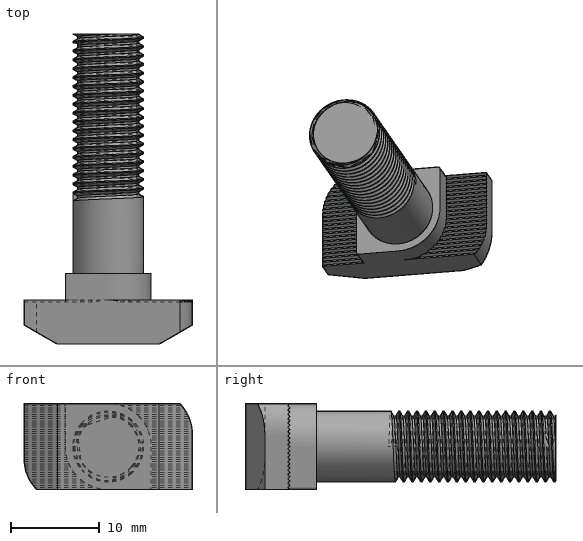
import cadquery as cq
import math


head_length = 19.0
head_height = 9.7
head_thickness = 5.0
bevel_run = 3.75
bevel_angle = 30.0
bevel_rise = bevel_run * math.tan(math.radians(bevel_angle))
corner_radius = 5.0
corner_drop = 3.5

tooth_count = 20
tooth_pitch = head_height / tooth_count
tooth_depth = tooth_pitch / 2

neck_end = 8.0
neck_radius = head_height / 2
neck_corner_fillet = 0.25

bolt_end = 35.0
shank_radius = 4.0
thread_pitch = 1.0
thread_start = 16.58
flank_slope = math.tan(math.radians(30.0))
triangle_height = thread_pitch * math.cos(math.radians(30.0))
thread_depth = triangle_height * 5 / 8
root_width = thread_pitch / 4
groove_overshoot = 0.05


def xz_plane(y):
    """Plane across the bolt axis with X to the right, Z up and normal -Y."""
    return cq.Workplane("XZ", origin=(0, y, 0))


def make_head():
    half_length = head_length / 2
    half_height = head_height / 2
    tip_half_length = half_length - bevel_run
    plan = (
        cq.Workplane("XY", origin=(0, 0, -half_height))
        .moveTo(-tip_half_length, 0)
        .lineTo(tip_half_length, 0)
        .lineTo(half_length, bevel_rise)
        .lineTo(half_length, head_thickness)
        .lineTo(-half_length, head_thickness)
        .lineTo(-half_length, bevel_rise)
        .close()
        .extrude(head_height)
    )

    tangent_z = half_height - corner_drop
    arc_inset = corner_radius - math.sqrt(corner_radius**2 - corner_drop**2)
    sweep_middle = math.asin(corner_drop / corner_radius) / 2
    arc_middle_x = half_length - corner_radius * (1 - math.cos(sweep_middle))
    arc_middle_z = tangent_z + corner_radius * math.sin(sweep_middle)
    outline = (
        xz_plane(0)
        .moveTo(-half_length, half_height)
        .lineTo(half_length - arc_inset, half_height)
        .threePointArc((arc_middle_x, arc_middle_z), (half_length, tangent_z))
        .lineTo(half_length, -half_height)
        .lineTo(-half_length + arc_inset, -half_height)
        .threePointArc((-arc_middle_x, -arc_middle_z), (-half_length, -tangent_z))
        .close()
        .extrude(-head_thickness)
    )
    return plan.intersect(outline)


def make_serration_grooves():
    """V grooves side by side, with tips left on both edges of the head."""
    half_height = head_height / 2
    valley = head_thickness - tooth_depth
    profile = cq.Workplane("YZ", origin=(-head_length / 2, 0, 0))
    profile = profile.moveTo(head_thickness, -half_height)
    for tooth in range(tooth_count):
        tooth_z = -half_height + tooth * tooth_pitch
        profile = profile.lineTo(valley, tooth_z + tooth_pitch / 2)
        profile = profile.lineTo(head_thickness, tooth_z + tooth_pitch)
    above = head_thickness + tooth_depth
    profile = profile.lineTo(above, half_height).lineTo(above, -half_height)
    return profile.close().extrude(head_length)


def make_neck():
    """Round neck with two opposite quadrants filled out to square corners."""
    base = head_thickness - tooth_depth
    length = neck_end - base
    neck = xz_plane(base).circle(neck_radius).extrude(-length)
    for side in (-1, 1):
        corner = (
            xz_plane(base)
            .center(side * neck_radius / 2, -side * neck_radius / 2)
            .rect(neck_radius, neck_radius)
            .extrude(-length)
        )
        outer_edge = cq.selectors.NearestToPointSelector(
            (side * neck_radius, base + length / 2, -side * neck_radius)
        )
        neck = neck.union(corner.edges(outer_edge).fillet(neck_corner_fillet))
    return neck


def make_shank():
    """Plain cylinder, with its seam on the -X side where the thread begins."""
    blank = xz_plane(neck_end).circle(shank_radius).extrude(neck_end - bolt_end)
    return blank.rotate((0, 0, 0), (0, 1, 0), 180)


def make_thread_groove():
    """Helical groove starting at full depth on the -X side, out past the end."""
    helix_height = bolt_end + thread_pitch - thread_start
    root_radius = shank_radius - thread_depth
    outer_radius = shank_radius + groove_overshoot
    root_half = root_width / 2
    outer_half = root_half + (outer_radius - root_radius) * flank_slope
    helix = cq.Wire.makeHelix(thread_pitch, helix_height, shank_radius)
    groove = (
        cq.Workplane("XZ")
        .moveTo(root_radius, -root_half)
        .lineTo(outer_radius, -outer_half)
        .lineTo(outer_radius, outer_half)
        .lineTo(root_radius, root_half)
        .close()
        .sweep(cq.Workplane(helix), isFrenet=True)
    )
    return (
        groove.rotate((0, 0, 0), (0, 0, 1), 180)
        .rotate((0, 0, 0), (1, 0, 0), -90)
        .translate((0, thread_start, 0))
    )


head = make_head().cut(make_serration_grooves())
threaded_shank = make_shank().cut(make_thread_groove())
result = head.union(make_neck()).union(threaded_shank)